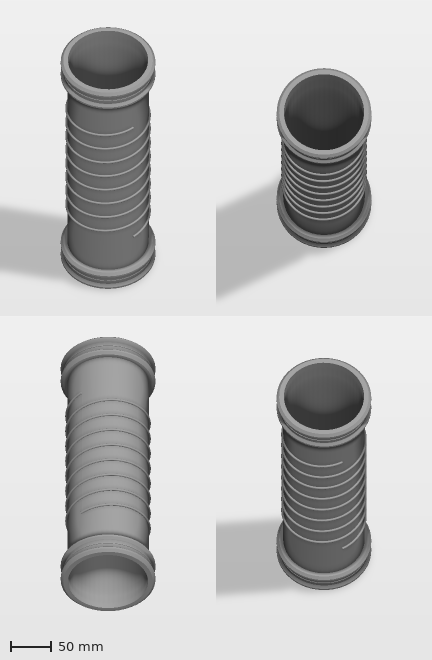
import cadquery as cq

total_length = 358.8
bore_radius = 100.0 / 2
tube_radius = 102.0 / 2

collar_length = 29.5
collar_radius = 112.0 / 2
flange_radius = 118.5 / 2
flange_width = 9.0
flange_chamfer = flange_radius - collar_radius
bead_radius = 56.7
bead_width = 1.0

rib_turns = 8
rib_wire_radius = 1.5
rib_path_radius = 52.0
rib_height = 200.0
rib_pitch = rib_height / rib_turns
rib_start = (total_length - rib_height) / 2

tube_length = total_length - 2 * collar_length


def ring(outer_radius, bottom, height):
    """Plain ring around the Z axis with the common bore."""
    return (
        cq.Workplane("XY")
        .workplane(offset=bottom)
        .circle(outer_radius)
        .circle(bore_radius)
        .extrude(height)
    )


def helical_rib():
    """Right-handed helical wire that starts and ends on the +X side."""
    path = cq.Wire.makeHelix(rib_pitch, rib_height, rib_path_radius)
    wire = (
        cq.Workplane("XZ")
        .center(rib_path_radius, 0)
        .circle(rib_wire_radius)
        .sweep(cq.Workplane(obj=path), isFrenet=True)
    )
    return wire.translate((0, 0, rib_start))


def ribbed_tube():
    """Tube between the collars, in one piece with its helical rib."""
    tube = ring(tube_radius, collar_length, tube_length).union(helical_rib())
    bore = cq.Workplane("XY").circle(bore_radius).extrude(total_length)
    return tube.cut(bore)


def flange(bottom):
    """Flange whose rim is chamfered on both sides."""
    blank = ring(flange_radius, bottom, flange_width)
    rim_edges = blank.edges(cq.selectors.RadiusNthSelector(-1))
    return rim_edges.chamfer(flange_chamfer)


def end_collar(bottom):
    """Collar with a flange at each end and a thin bead halfway between them."""
    collar = ring(collar_radius, bottom, collar_length)
    for flange_bottom in (bottom, bottom + collar_length - flange_width):
        collar = collar.union(flange(flange_bottom))
    bead_bottom = bottom + (collar_length - bead_width) / 2
    return collar.union(ring(bead_radius, bead_bottom, bead_width))


tube = ribbed_tube()
collars = [end_collar(bottom) for bottom in (0, total_length - collar_length)]

result = cq.Compound.makeCompound([tube.val(), *[collar.val() for collar in collars]])